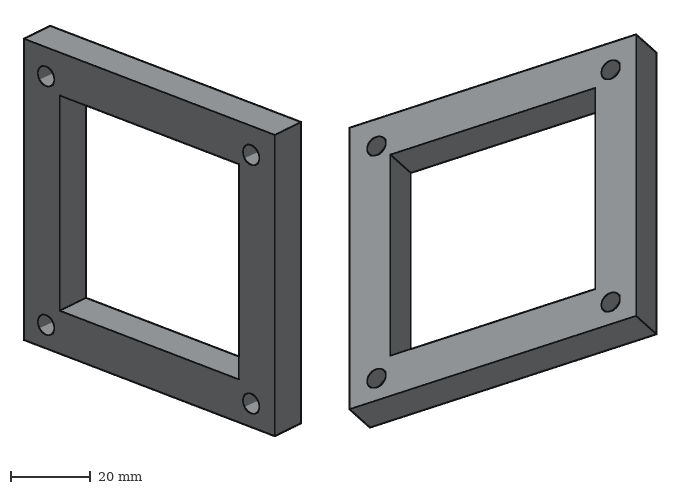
import cadquery as cq

frame_side = 84.0
frame_thickness = 10.0
window_side = 60.0

hole_diameter = 5.5
hole_spacing_x = 68.6
hole_spacing_z = 69.3
hole_pattern_shift_x = -0.25
hole_pattern_shift_z = -0.75


def square_block(side):
    return cq.Workplane("XY").box(side, frame_thickness, side)


def mounting_holes():
    return (
        cq.Workplane("XZ")
        .center(hole_pattern_shift_x, hole_pattern_shift_z)
        .rect(hole_spacing_x, hole_spacing_z, forConstruction=True)
        .vertices()
        .circle(hole_diameter / 2)
        .extrude(frame_thickness, both=True)
    )


result = square_block(frame_side).cut(square_block(window_side)).cut(mounting_holes())